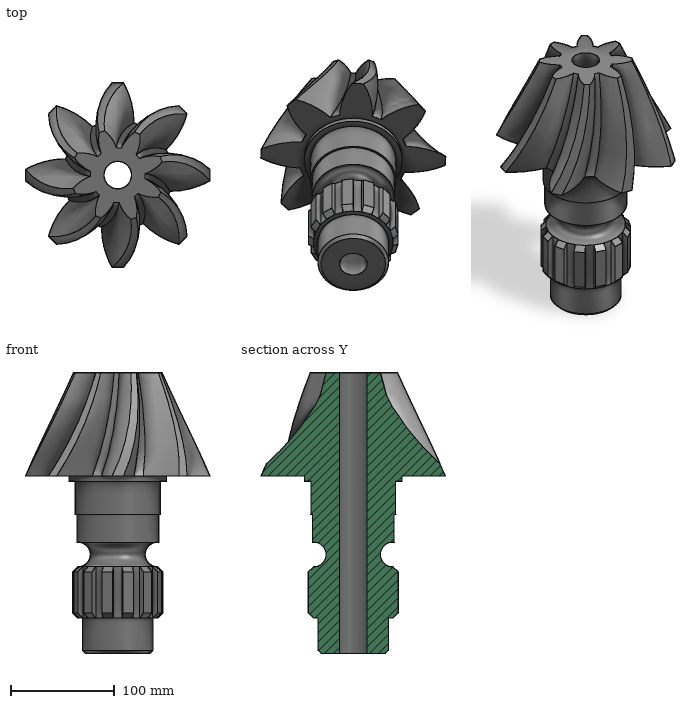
import cadquery as cq
import math

tail_length = 34.0
spline_length = 49.5
lower_seat_length = 26.6
upper_seat_length = 32.0
collar_length = 5.0
gear_length = 99.56

tail_radius = 34.0
tail_chamfer = 3.0
neck_radius = 26.4
neck_fillet = 11.7
lower_seat_radius = 39.5
upper_seat_radius = 41.0
collar_radius = 47.0
bore_radius = 13.1

spline_count = 13
spline_tip_radius = 43.1
spline_root_radius = neck_radius + neck_fillet
spline_width = 10.4
spline_chamfer_height = 5.0

tooth_count = 8
tip_distance = 88.82
tip_half_width = 5.5
flank_middle = (68.0, 13.7)
flank_root = (50.3, 15.7)
small_end_scale = 0.5
spiral_angle = 20.0
spiral_slowdown = 10.5
section_count = 5

spline_bottom = tail_length
spline_top = spline_bottom + spline_length
neck_middle = spline_top + neck_fillet
neck_top = neck_middle + neck_fillet
lower_seat_top = neck_top + lower_seat_length
upper_seat_top = lower_seat_top + upper_seat_length
gear_bottom = upper_seat_top + collar_length
total_length = gear_bottom + gear_length


def turned_shaft():
    """Stepped shaft with a concave neck, revolved about Z."""
    arc_inset = neck_fillet * (1 - math.sqrt(0.5))
    arc_middle_radius = neck_radius + arc_inset
    profile = (
        cq.Workplane("XZ")
        .moveTo(0, 0)
        .lineTo(tail_radius - tail_chamfer, 0)
        .lineTo(tail_radius, tail_chamfer)
        .lineTo(tail_radius, spline_bottom)
        .lineTo(spline_root_radius, spline_bottom)
        .lineTo(spline_root_radius, spline_top)
        .threePointArc((arc_middle_radius, spline_top + arc_inset), (neck_radius, neck_middle))
        .threePointArc((arc_middle_radius, neck_top - arc_inset), (spline_root_radius, neck_top))
        .lineTo(lower_seat_radius, neck_top)
        .lineTo(lower_seat_radius, lower_seat_top)
        .lineTo(upper_seat_radius, lower_seat_top)
        .lineTo(upper_seat_radius, upper_seat_top)
        .lineTo(collar_radius, upper_seat_top)
        .lineTo(collar_radius, gear_bottom)
        .lineTo(0, gear_bottom)
        .close()
    )
    return profile.revolve(360, (0, 0, 0), (0, 1, 0))


def spline_teeth():
    """Ring of straight splines, each bevelled at both ends down to the root; one tooth lies on +Y."""
    tooth_root = neck_radius
    bevel_bottom = spline_bottom + spline_chamfer_height
    bevel_top = spline_top - spline_chamfer_height
    tooth = (
        cq.Workplane("YZ")
        .moveTo(tooth_root, spline_bottom)
        .lineTo(spline_root_radius, spline_bottom)
        .lineTo(spline_tip_radius, bevel_bottom)
        .lineTo(spline_tip_radius, bevel_top)
        .lineTo(spline_root_radius, spline_top)
        .lineTo(tooth_root, spline_top)
        .close()
        .extrude(spline_width / 2, both=True)
    )
    ring = cq.Workplane("XY")
    for index in range(spline_count):
        ring = ring.add(tooth.rotate((0, 0, 0), (0, 0, 1), index * 360 / spline_count))
    return ring.combine()


def gear_section(fraction):
    """Closed tooth outline at a fraction of the gear length above the large end."""
    scale = 1 - (1 - small_end_scale) * fraction
    twist = (spiral_angle + spiral_slowdown) * fraction - spiral_slowdown * fraction**2
    height = gear_bottom + gear_length * fraction

    def place(point, tooth_angle):
        angle = math.radians(tooth_angle + twist)
        x = scale * (point[0] * math.cos(angle) - point[1] * math.sin(angle))
        y = scale * (point[0] * math.sin(angle) + point[1] * math.cos(angle))
        return cq.Vector(x, y, height)

    def mirrored(point):
        return (point[0], -point[1])

    flank_tip = (tip_distance, tip_half_width)
    pitch_angle = 360 / tooth_count
    edges = []
    for index in range(tooth_count):
        angle = index * pitch_angle
        right_root, right_middle, right_tip, left_tip, left_middle, left_root = [
            place(point, angle)
            for point in (
                mirrored(flank_root),
                mirrored(flank_middle),
                mirrored(flank_tip),
                flank_tip,
                flank_middle,
                flank_root,
            )
        ]
        next_root = place(mirrored(flank_root), angle + pitch_angle)
        edges.append(cq.Edge.makeThreePointArc(right_root, right_middle, right_tip))
        edges.append(cq.Edge.makeLine(right_tip, left_tip))
        edges.append(cq.Edge.makeThreePointArc(left_tip, left_middle, left_root))
        edges.append(cq.Edge.makeLine(left_root, next_root))
    return cq.Wire.assembleEdges(edges)


def spiral_gear():
    """Bevel gear lofted through shrinking, progressively turned tooth outlines."""
    sections = [gear_section(index / (section_count - 1)) for index in range(section_count)]
    return cq.Workplane(cq.Solid.makeLoft(sections))


bore = cq.Workplane("XY").circle(bore_radius).extrude(total_length)

result = turned_shaft().union(spline_teeth()).union(spiral_gear()).cut(bore)